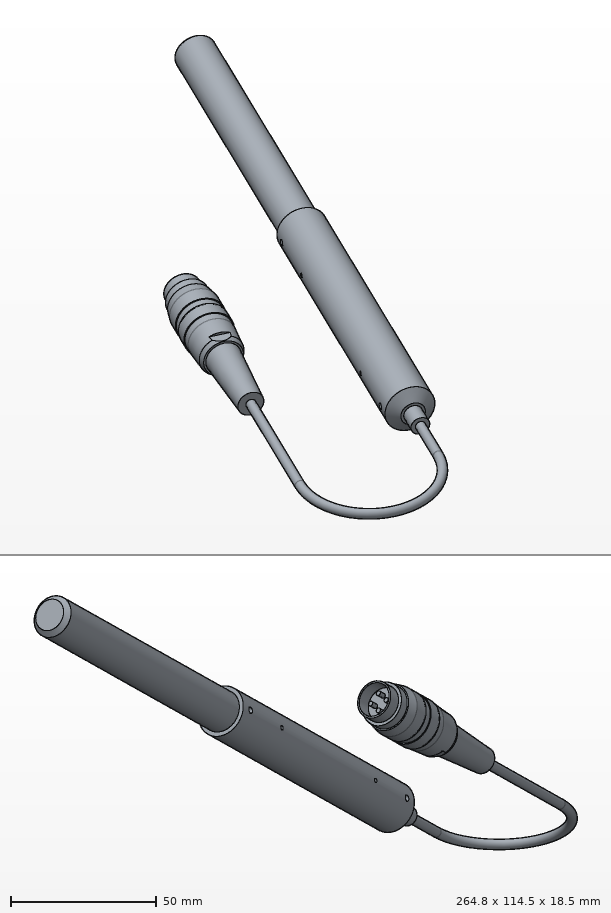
import cadquery as cq
import math

TILT_ANGLE = 13.0

TUBE_LENGTH = 110.0
TUBE_DIAMETER = 15.0
TUBE_TIP_CHAMFER = 1.9

HANDLE_LENGTH = 110.0
HANDLE_DIAMETER = 18.3
HANDLE_CONE_LENGTH = 3.2
HANDLE_CONE_END_DIAMETER = 9.0
FERRULE_LENGTH = 7.5
FERRULE_DIAMETER = 7.0

END_HOLE_DIAMETER = 2.25
END_HOLE_SPACING = 100.5
INNER_HOLE_DIAMETER = 1.48
INNER_HOLE_SPACING = 60.1
SIDE_HOLE_DEPTH = 2.6

CABLE_DIAMETER = 3.7
BEND_START = 248.5
RUN_SPACING = 50.5

PLUG_START = 128.7
SHELL_LENGTH = 5.0
SHELL_DIAMETER = 13.5
COLLAR_END = 8.7
COLLAR_DIAMETER = 16.0
NOSE_START_DIAMETER = 17.0
NOSE_END = 13.0
GRIP_DIAMETER = 18.5
GROOVE_DIAMETER = 17.7
FIRST_GROOVE_START = 18.8
SECOND_GROOVE_START = 27.5
GROOVE_WIDTH = 3.2
TAPER_END = 40.3
TAPER_END_DIAMETER = 16.5
PLUG_LENGTH = 42.0
PLUG_END_DIAMETER = 14.5
FLAT_START = 38.1
FLAT_HEIGHT = 7.5

SOCKET_DIAMETER = 12.2
SOCKET_DEPTH = 5.8
PIN_DIAMETER = 1.7
PIN_LENGTH = 3.2
PIN_COUNT = 4
PIN_CIRCLE_RADIUS = 3.2

BOOT_END = 198.7
BOOT_START_DIAMETER = 13.0
BOOT_END_DIAMETER = 9.5

HANDLE_END = TUBE_LENGTH + HANDLE_LENGTH
CONE_END = HANDLE_END + HANDLE_CONE_LENGTH
FERRULE_END = CONE_END + FERRULE_LENGTH
BEND_RADIUS = RUN_SPACING / 2
RETURN_Y = -RUN_SPACING
BOOT_START = PLUG_START + PLUG_LENGTH


def turned(profile, start=0.0, axis_y=0.0):
    """Solid of revolution about the X direction from (place, diameter) stations."""
    points = [(place, diameter / 2) for place, diameter in profile]
    outline = [(points[0][0], 0), *points, (points[-1][0], 0)]
    solid = cq.Workplane("XY").polyline(outline).close().revolve(360, (0, 0, 0), (1, 0, 0))
    return solid.translate((start, axis_y, 0))


def rod(diameter, start, length, axis_y=0.0, axis_z=0.0):
    """Cylinder along +X."""
    plane = cq.Workplane("YZ", origin=(start, axis_y, axis_z))
    return plane.circle(diameter / 2).extrude(length)


def make_tube():
    return rod(TUBE_DIAMETER, 0, TUBE_LENGTH).faces("<X").chamfer(TUBE_TIP_CHAMFER)


def make_handle():
    handle = turned([
        (TUBE_LENGTH, HANDLE_DIAMETER),
        (HANDLE_END, HANDLE_DIAMETER),
        (CONE_END, HANDLE_CONE_END_DIAMETER),
        (CONE_END, FERRULE_DIAMETER),
        (FERRULE_END, FERRULE_DIAMETER),
    ])
    middle = TUBE_LENGTH + HANDLE_LENGTH / 2
    hole_pairs = [(END_HOLE_SPACING, END_HOLE_DIAMETER), (INNER_HOLE_SPACING, INNER_HOLE_DIAMETER)]
    for spacing, diameter in hole_pairs:
        for side in (-1, 1):
            side_plane = cq.Workplane("XZ", origin=(middle + side * spacing / 2, -HANDLE_DIAMETER / 2, 0))
            handle = handle.cut(side_plane.circle(diameter / 2).extrude(-SIDE_HOLE_DEPTH))
    return handle


def make_cable():
    path = (
        cq.Workplane("XY")
        .moveTo(FERRULE_END, 0)
        .lineTo(BEND_START, 0)
        .threePointArc((BEND_START + BEND_RADIUS, -BEND_RADIUS), (BEND_START, RETURN_Y))
        .lineTo(BOOT_END, RETURN_Y)
    )
    section = cq.Workplane("YZ", origin=(FERRULE_END, 0, 0)).circle(CABLE_DIAMETER / 2)
    return section.sweep(path)


def make_plug():
    first_groove_end = FIRST_GROOVE_START + GROOVE_WIDTH
    second_groove_end = SECOND_GROOVE_START + GROOVE_WIDTH
    profile = [
        (0, SHELL_DIAMETER),
        (SHELL_LENGTH, SHELL_DIAMETER),
        (SHELL_LENGTH, COLLAR_DIAMETER),
        (COLLAR_END, COLLAR_DIAMETER),
        (COLLAR_END, NOSE_START_DIAMETER),
        (NOSE_END, GRIP_DIAMETER),
        (FIRST_GROOVE_START, GRIP_DIAMETER),
        (FIRST_GROOVE_START, GROOVE_DIAMETER),
        (first_groove_end, GROOVE_DIAMETER),
        (first_groove_end, GRIP_DIAMETER),
        (SECOND_GROOVE_START, GRIP_DIAMETER),
        (SECOND_GROOVE_START, GROOVE_DIAMETER),
        (second_groove_end, GROOVE_DIAMETER),
        (TAPER_END, TAPER_END_DIAMETER),
        (PLUG_LENGTH, PLUG_END_DIAMETER),
    ]
    plug = turned(profile, PLUG_START, RETURN_Y)
    plug = plug.cut(rod(SOCKET_DIAMETER, PLUG_START, SOCKET_DEPTH, RETURN_Y))

    flat_length = PLUG_LENGTH - FLAT_START
    for side in (-1, 1):
        cutter = cq.Workplane("XY").box(flat_length, GRIP_DIAMETER, GRIP_DIAMETER)
        flat_center_z = side * (FLAT_HEIGHT + GRIP_DIAMETER / 2)
        plug = plug.cut(cutter.translate((BOOT_START - flat_length / 2, RETURN_Y, flat_center_z)))

    for index in range(PIN_COUNT):
        angle = index * 2 * math.pi / PIN_COUNT
        pin_y = RETURN_Y + PIN_CIRCLE_RADIUS * math.cos(angle)
        pin_z = PIN_CIRCLE_RADIUS * math.sin(angle)
        pin_start = PLUG_START + SOCKET_DEPTH - PIN_LENGTH
        plug = plug.union(rod(PIN_DIAMETER, pin_start, PIN_LENGTH, pin_y, pin_z))
    return plug


def make_boot():
    stations = [(BOOT_START, BOOT_START_DIAMETER), (BOOT_END, BOOT_END_DIAMETER)]
    return turned(stations, 0, RETURN_Y)


tube = make_tube()
handle = make_handle()
cable = make_cable()
plug = make_plug()
boot = make_boot()

bodies = [body.rotate((0, 0, 0), (0, 0, 1), -TILT_ANGLE) for body in (tube, handle, cable, plug, boot)]
result = cq.Compound.makeCompound([body.val() for body in bodies])